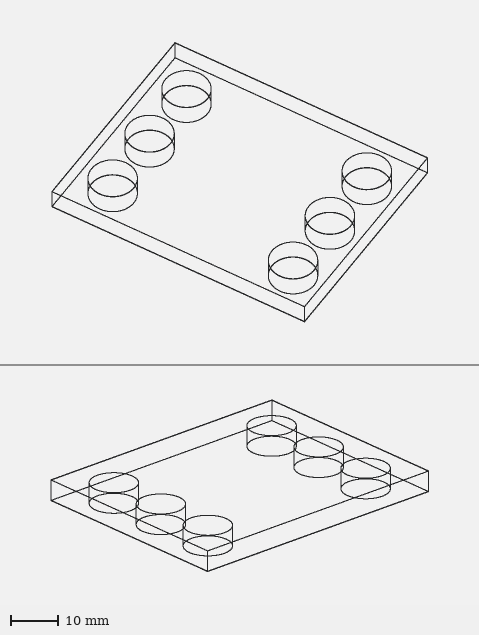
import cadquery as cq

length = 63.0
width = 50.0
thickness = 4.8

hole_diameter = 10.5
column_spacing = 45.0
row_spacing = 15.0
columns = 2
rows = 3

plate = cq.Workplane("XY").box(length, width, thickness)

result = (
    plate.faces(">Z")
    .workplane()
    .rarray(column_spacing, row_spacing, columns, rows)
    .hole(hole_diameter)
)